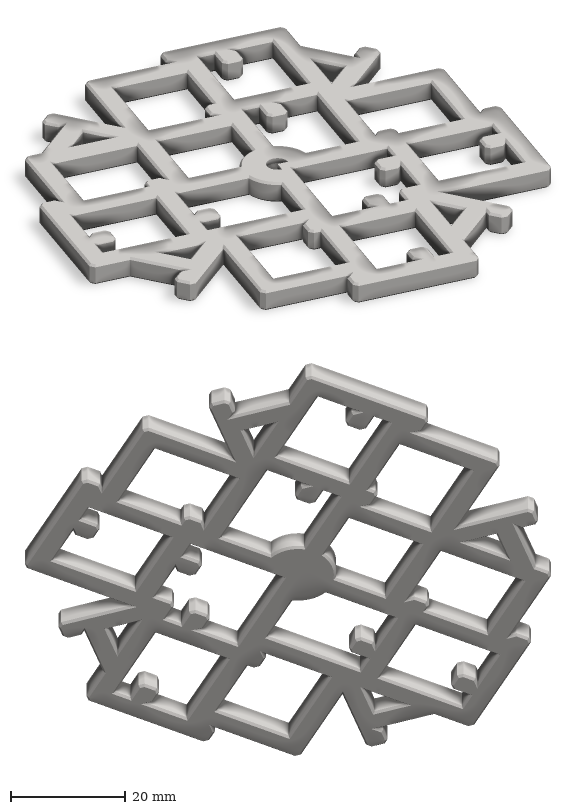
import cadquery as cq
import math

thickness = 4.0
bar = 4.0
corner = 0.8
edge_bevel = 0.4
bay = 20.0
latch_line = 9.0
hub_radius = 6.65
dimple_radius = 2.0
dimple_depth = 1.0

half_bar = bar / 2
inner_reach = 2 * bay
outer_reach = inner_reach + bar
rail_inner = bay - bar
rail_centre = bay - half_bar
rod_start = rail_centre * math.sqrt(2)
brace_length = inner_reach - half_bar - rod_start

diagonal = math.sqrt(0.5)
EAST = (1, 0)
WEST = (-1, 0)
NORTH = (0, 1)
SOUTH = (0, -1)
NORTH_EAST = (diagonal, diagonal)
NORTH_WEST = (-diagonal, diagonal)
SOUTH_EAST = (diagonal, -diagonal)
SOUTH_WEST = (-diagonal, -diagonal)


def plate(frame, outline):
    """Full-height plate from (along, across) points, placed in a pair of unit directions."""
    along, across = frame
    points = [(a * along[0] + c * across[0], a * along[1] + c * across[1]) for a, c in outline]
    return cq.Workplane("XY").polyline(points).close().extrude(thickness)


def beam(frame, along_span, across_span):
    """Rectangular beam with its four upright corners bevelled."""
    a0, a1 = along_span
    c0, c1 = across_span
    return plate(frame, [
        (a0 + corner, c0), (a1 - corner, c0), (a1, c0 + corner), (a1, c1 - corner),
        (a1 - corner, c1), (a0 + corner, c1), (a0, c1 - corner), (a0, c0 + corner),
    ])


def latch(frame, base, direction, undercut, side):
    """Square latch standing on the line along = base, notched at its root on the undercut side."""
    tip = base + direction * bar
    flush = undercut + side * bar
    root_step = direction * corner
    side_step = side * corner
    return plate(frame, [
        (base, flush), (tip - root_step, flush), (tip, flush - side_step), (tip, undercut + side_step),
        (tip - root_step, undercut), (base + root_step, undercut), (base, undercut + side_step),
    ])


def ladder_arm(along, across, latch_side):
    """Spine with a longer ladder on one side, a shorter one on the other, and two latches."""
    frame = (along, across)
    long_rail = beam(frame, (rail_inner, outer_reach), (rail_inner, bay))
    short_rail = beam(frame, (rail_inner, inner_reach), (-bay, -rail_inner))
    spine = beam(frame, (-half_bar, outer_reach), (-half_bar, half_bar))
    parts = [spine, long_rail, short_rail]
    for rung in (bay, inner_reach):
        parts.append(beam(frame, (rung, rung + bar), (-bar, bay)))
        parts.append(beam(frame, (rung - bar, rung), (-bay, 0)))
        parts.append(latch(frame, rung, -1, latch_line, latch_side))
    return parts


def corner_arm(along, across):
    """Diagonal rod with a latch at its tip and a brace back to the neighbouring rail."""
    frame = (along, across)
    rod = plate(frame, [
        (rod_start, -half_bar), (inner_reach, -half_bar), (inner_reach, half_bar), (rod_start, half_bar),
    ])
    brace = beam(frame, (inner_reach - bar, inner_reach), (0, brace_length))
    tip = latch(frame, inner_reach, 1, half_bar, -1)
    return [rod, brace, tip]


def three_quarter_disc(radius, base, height):
    """Disc segment covering every quadrant but +X +Y."""
    middle = -radius * diagonal
    return (
        cq.Workplane("XY").workplane(offset=base)
        .lineTo(0, radius).threePointArc((middle, middle), (radius, 0)).close()
        .extrude(height)
    )


pieces = (
    ladder_arm(NORTH, EAST, -1)
    + ladder_arm(WEST, NORTH, -1)
    + ladder_arm(EAST, NORTH, 1)
    + ladder_arm(SOUTH, EAST, 1)
    + corner_arm(NORTH_WEST, SOUTH_WEST)
    + corner_arm(NORTH_EAST, SOUTH_EAST)
    + corner_arm(SOUTH_WEST, SOUTH_EAST)
    + corner_arm(SOUTH_EAST, SOUTH_WEST)
)
grid = cq.Workplane("XY").newObject([piece.val() for piece in pieces]).combine()
grid = grid.faces(">Z or <Z").edges().chamfer(edge_bevel)

hub = three_quarter_disc(hub_radius, 0, thickness).edges("%CIRCLE").chamfer(edge_bevel)
dimple = three_quarter_disc(dimple_radius, thickness - dimple_depth, dimple_depth)
result = grid.union(hub).cut(dimple)